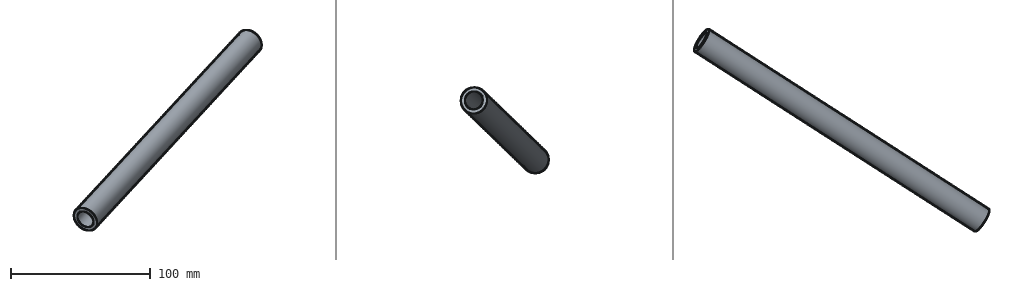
import cadquery as cq

length = 245.0
outer_diameter = 19.0
bore_diameter = 13.0

result = (
    cq.Workplane("XZ", origin=(0, length / 2, 0))
    .circle(outer_diameter / 2)
    .circle(bore_diameter / 2)
    .extrude(length)
)